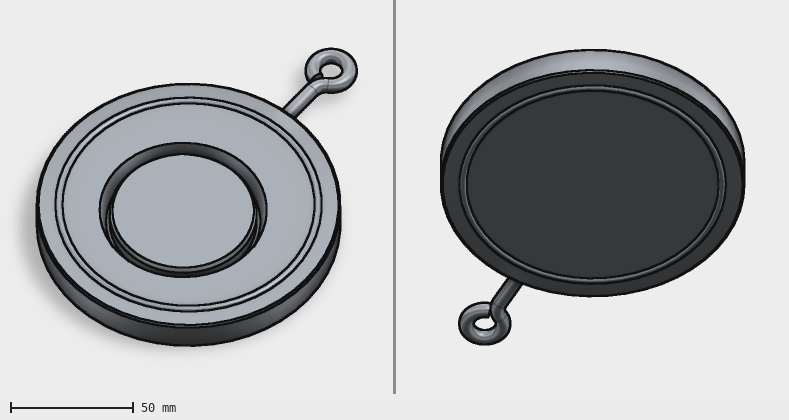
import cadquery as cq
import math

body_diameter = 124.0
body_thickness = 14.0
body_edge_chamfer = 0.8

overall_thickness = 15.8
ring_center_diameter = 105.8
ring_section_diameter = 3.3

recess_offset_y = -3.5
recess_mouth_diameter = 68.2
recess_floor_diameter = 63.0
recess_depth = 8.0

flap_diameter = 60.0
flap_chamfer_width = 1.15
flap_chamfer_height = 2.0
flap_drop = 0.6

rod_diameter = 6.0
eye_center_radius = 7.5
overall_length = 166.0
bend_angle = 60.0
eye_sweep_angle = 315.0
rod_embed = 3.0

body_radius = body_diameter / 2
body_top_z = body_thickness / 2
recess_floor_z = body_top_z - recess_depth
eye_center_y = overall_length - body_radius - eye_center_radius - rod_diameter / 2


def make_body():
    disc = cq.Workplane("XY", origin=(0, 0, -body_top_z)).circle(body_radius).extrude(body_thickness)
    return disc.faces("|Z").edges().chamfer(body_edge_chamfer)


def make_sealing_ring(side):
    """Torus in the top (side = 1) or bottom (side = -1) face."""
    section_z = side * (overall_thickness - ring_section_diameter) / 2
    section = cq.Workplane("XZ").center(ring_center_diameter / 2, section_z)
    axis_start = (-ring_center_diameter / 2, 0)
    axis_end = (-ring_center_diameter / 2, 1)
    return section.circle(ring_section_diameter / 2).revolve(360, axis_start, axis_end)


def make_recess():
    """Cone cutter, widest at the top face."""
    base = cq.Workplane("XY", origin=(0, recess_offset_y, recess_floor_z))
    floor = base.circle(recess_floor_diameter / 2)
    return floor.workplane(offset=recess_depth).circle(recess_mouth_diameter / 2).loft()


def make_flap():
    base = cq.Workplane("XY", origin=(0, recess_offset_y, recess_floor_z))
    flap = base.circle(flap_diameter / 2).extrude(recess_depth - flap_drop)
    return flap.faces(">Z").edges().chamfer(flap_chamfer_height, flap_chamfer_width)


def make_eye_bolt():
    """Rod along +Y, bent aside by an arc that runs tangentially into an open ring."""

    def on_eye(angle):
        """Point on the eye centre line, angle in degrees from +X."""
        turn = math.radians(angle)
        return (eye_center_radius * math.cos(turn), eye_center_y + eye_center_radius * math.sin(turn))

    bend_start_y = eye_center_y - 2 * eye_center_radius * math.sin(math.radians(bend_angle))
    eye_start_angle = -bend_angle
    half_bend = math.radians(bend_angle / 2)
    bend_middle = (
        eye_center_radius * (1 - math.cos(half_bend)),
        bend_start_y + eye_center_radius * math.sin(half_bend),
    )
    rod_start_y = body_radius - rod_embed
    path = (
        cq.Workplane("XY")
        .moveTo(0, rod_start_y)
        .lineTo(0, bend_start_y)
        .threePointArc(bend_middle, on_eye(eye_start_angle))
    )
    section = cq.Workplane("XZ", origin=(0, rod_start_y, 0)).circle(rod_diameter / 2)
    shank = section.sweep(path)

    eye_section = cq.Workplane("XZ", origin=(eye_center_radius, eye_center_y, 0)).circle(rod_diameter / 2)
    eye = eye_section.revolve(eye_sweep_angle, (-eye_center_radius, 0), (-eye_center_radius, 1))
    eye = eye.rotate((0, eye_center_y, 0), (0, eye_center_y, 1), eye_start_angle)
    return shank.union(eye)


result = make_body()
for face_side in (1, -1):
    result = result.union(make_sealing_ring(face_side))
result = result.cut(make_recess()).union(make_flap()).union(make_eye_bolt())